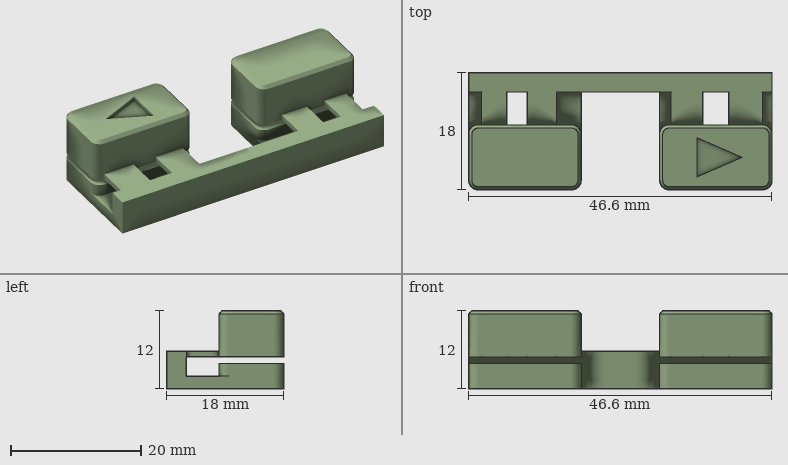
import cadquery as cq

total_width = 46.6
total_depth = 18.0
total_height = 12.0

rail_depth = 3.0
rail_height = 5.8
rail_front_y = total_depth - rail_depth

key_width = 17.3
key_depth = 10.0
corner_radius = 1.5
base_height = 3.9
gap_height = 1.0
cap_bottom_z = base_height + gap_height
cap_chamfer = 0.5

floor_height = 1.95
arm_thickness = rail_height - cap_bottom_z

left_key_x = 0.0
left_key_arms = [(2.0, 5.9), (9.0, 13.5)]
right_key_x = total_width - key_width
right_key_arms = [(1.8, 6.65), (10.6, 15.8)]

arrow_base_x = right_key_x + 5.75
arrow_length = 6.9
arrow_width = 6.0
arrow_center_y = key_depth / 2
arrow_depth = 0.8


def box_between(x_range, y_range, z_range):
    """Axis-aligned box spanning the given (low, high) ranges."""
    sizes = [high - low for low, high in (x_range, y_range, z_range)]
    return (
        cq.Workplane("XY")
        .box(*sizes, centered=False)
        .translate((x_range[0], y_range[0], z_range[0]))
    )


def rounded_block(left_x, bottom_z, top_z):
    """Block with the key footprint and rounded vertical corners."""
    block = box_between((left_x, left_x + key_width), (0, key_depth), (bottom_z, top_z))
    return block.edges("|Z").fillet(corner_radius)


def make_cap(left_x):
    """Key cap with a chamfered top rim."""
    cap = rounded_block(left_x, cap_bottom_z, total_height)
    return cap.faces(">Z").edges().chamfer(cap_chamfer)


def make_floor(left_x, arms):
    """Floor plate from the rail into the base block, open between the two arms."""
    plate = box_between(
        (left_x, left_x + key_width), (corner_radius, rail_front_y), (0, floor_height)
    )
    window_x = (left_x + arms[0][1], left_x + arms[1][0])
    window = box_between(window_x, (key_depth, rail_front_y), (0, floor_height))
    return plate.cut(window)


def make_arm(left_x, arm):
    """Flat arm from the rail to the cap, running into the cap above its bottom face."""
    arm_x = (left_x + arm[0], left_x + arm[1])
    arm_y = (key_depth - corner_radius, rail_front_y)
    return box_between(arm_x, arm_y, (cap_bottom_z, cap_bottom_z + arm_thickness))


def make_key(left_x, arms):
    """Complete key: base block, floor plate, arms and cap."""
    key = rounded_block(left_x, 0, base_height).union(make_floor(left_x, arms))
    cap = make_cap(left_x)
    for arm in arms:
        cap = cap.union(make_arm(left_x, arm))
    return key.union(cap)


def make_arrow():
    """Triangular prism that cuts the arrow recess, pointing toward +X."""
    half_width = arrow_width / 2
    return (
        cq.Workplane("XY", origin=(arrow_base_x, arrow_center_y, total_height))
        .polyline([(0, -half_width), (arrow_length, 0), (0, half_width)])
        .close()
        .extrude(-arrow_depth)
    )


rail = box_between((0, total_width), (rail_front_y, total_depth), (0, rail_height))
left_key = make_key(left_key_x, left_key_arms)
right_key = make_key(right_key_x, right_key_arms)

result = rail.union(left_key).union(right_key).cut(make_arrow())